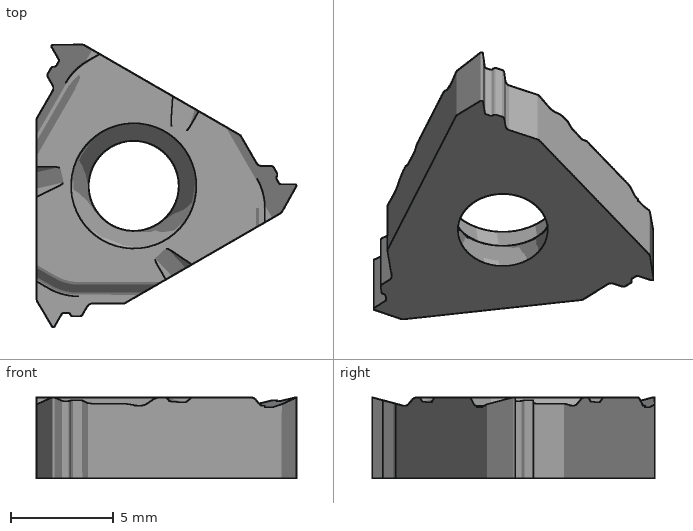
import math

import cadquery as cq

thickness = 3.97
inscribed_radius = 4.7625
corner_count = 3
corner_step = 360 / corner_count
far = 8.0

flank_tan = math.tan(math.radians(60))
side_y = -5.61
apex_x = -3.9386
apex_y = -6.998
apex_radius = 0.08
side_radius = 0.33
groove_y = -6.23
groove_radius = 0.10
crest_y = -6.395
crest_start_x = -3.052
crest_end_x = -2.557
crest_start_radius = 0.15
crest_end_radius = 0.19
shoulder_y = -5.77
shoulder_radius = 0.28
heel_radius = 0.25

rake_angle = 15.0
rake_floor_depth = 0.49
rake_tip_y = apex_y + apex_radius
wall_angle = 50.0
breaker_edge_y = -4.705
breaker_bend_x = -2.71
breaker_bend_radius = 2.2
breaker_bend_angle = 30.0
lip_radius = 0.33
trough_radius = 0.28

notch_turn = 13.0
notch_climb = 10.4
notch_depth = 0.235
notch_floor_width = 0.65
notch_wall_angle = 38.0
notch_fillet_radius = 0.276
notch_y = 0.235
notch_lead = 0.5

bore_radius = 4.4 / 2
head_radius = 6.14 / 2
head_depth = 1.07
seat_radius = 2.96
seat_depth = 1.29
bore_depth = 3.55


def rotate_point(point, degrees):
    """Turn a plan point about the plate centre."""
    angle = math.radians(degrees)
    x = point[0] * math.cos(angle) - point[1] * math.sin(angle)
    y = point[0] * math.sin(angle) + point[1] * math.cos(angle)
    return (x, y)


def corner_points():
    """Sharp vertices of one corner with the radius that rounds each of them."""
    groove_start_x = apex_x + (groove_y - apex_y) / flank_tan
    groove_end_x = crest_start_x - (groove_y - crest_y) / flank_tan
    shoulder_x = crest_end_x + (shoulder_y - crest_y) / flank_tan
    heel_x = 2 * inscribed_radius + flank_tan * shoulder_y
    return [
        ((-inscribed_radius, side_y), side_radius),
        ((apex_x, apex_y), apex_radius),
        ((groove_start_x, groove_y), groove_radius),
        ((groove_end_x, groove_y), groove_radius),
        ((crest_start_x, crest_y), crest_start_radius),
        ((crest_end_x, crest_y), crest_end_radius),
        ((shoulder_x, shoulder_y), shoulder_radius),
        ((heel_x, shoulder_y), heel_radius),
    ]


def rounded_corner(before, vertex, after, radius):
    """Start, middle and end of the arc that rounds a vertex."""
    start_angle = math.atan2(before[1] - vertex[1], before[0] - vertex[0])
    end_angle = math.atan2(after[1] - vertex[1], after[0] - vertex[0])
    half = math.remainder(end_angle - start_angle, 2 * math.pi) / 2
    middle_angle = start_angle + half
    half = abs(half)
    tangent = radius / math.tan(half)
    bulge = radius / math.sin(half) - radius

    def along(angle, distance):
        return (vertex[0] + distance * math.cos(angle), vertex[1] + distance * math.sin(angle))

    return along(start_angle, tangent), along(middle_angle, bulge), along(end_angle, tangent)


def make_plate():
    """Triangular plate with a toothed profile at each corner."""
    outline = []
    for index in range(corner_count):
        for point, radius in corner_points():
            outline.append((rotate_point(point, index * corner_step), radius))
    arcs = []
    for index, (vertex, radius) in enumerate(outline):
        before = outline[index - 1][0]
        after = outline[(index + 1) % len(outline)][0]
        arcs.append(rounded_corner(before, vertex, after, radius))
    sketch = cq.Workplane("XY").moveTo(*arcs[-1][2])
    for start, middle, end in arcs:
        sketch = sketch.lineTo(*start).threePointArc(middle, end)
    return sketch.close().extrude(thickness)


def flare_middle(radius, height, radius_step, rise):
    """Middle of an arc that starts upright at (radius, height) and moves by the given steps."""
    arc_radius = (radius_step**2 + rise**2) / (2 * abs(radius_step))
    half_sweep = math.asin(abs(rise) / arc_radius) / 2
    return (
        radius + math.copysign(arc_radius * (1 - math.cos(half_sweep)), radius_step),
        height + math.copysign(arc_radius * math.sin(half_sweep), rise),
    )


def make_screw_hole():
    """Straight head recess, rounded ledge and a curved seat that runs into the bore."""
    bore_top = thickness - bore_depth
    seat_top = thickness - seat_depth
    head_floor = thickness - head_depth
    seat_middle = flare_middle(bore_radius, bore_top, seat_radius - bore_radius, seat_top - bore_top)
    ledge_middle = flare_middle(head_radius, head_floor, seat_radius - head_radius, seat_top - head_floor)
    return (
        cq.Workplane("XZ")
        .lineTo(bore_radius, 0)
        .lineTo(bore_radius, bore_top)
        .threePointArc(seat_middle, (seat_radius, seat_top))
        .threePointArc(ledge_middle, (head_radius, head_floor))
        .lineTo(head_radius, thickness)
        .lineTo(0, thickness)
        .close()
        .revolve(360, (0, 0, 0), (0, 1, 0))
    )


def breaker_section():
    """Key points of the trough section as (distance outward, depth below the top)."""
    wall = math.radians(wall_angle)
    rake = math.radians(rake_angle)
    lip_end = (lip_radius * math.sin(wall), lip_radius * (1 - math.cos(wall)))
    lip_middle = (lip_radius * math.sin(wall / 2), lip_radius * (1 - math.cos(wall / 2)))
    trough_run = trough_radius * (math.sin(wall) + math.sin(rake))
    trough_drop = trough_radius * (math.cos(rake) - math.cos(wall))
    rake_span = breaker_edge_y - rake_tip_y
    gap = (rake_span - lip_end[0] - trough_run) * math.tan(rake) - lip_end[1] - trough_drop
    wall_run = gap / (math.tan(wall) + math.tan(rake))
    foot = (lip_end[0] + wall_run, lip_end[1] + wall_run * math.tan(wall))
    outer = (foot[0] + trough_run, foot[1] + trough_drop)
    centre = (foot[0] + trough_radius * math.sin(wall), foot[1] - trough_radius * math.cos(wall))
    turn = (wall - rake) / 2
    trough_middle = (
        centre[0] - trough_radius * math.sin(turn),
        centre[1] + trough_radius * math.cos(turn),
    )
    return lip_middle, lip_end, foot, trough_middle, outer


def trough_profile(plane):
    """Closed trough section, drawn with the bend axis as the local vertical axis."""

    def place(point):
        return (breaker_bend_radius + point[0], thickness - point[1])

    lip_middle, lip_end, foot, trough_middle, outer = (place(p) for p in breaker_section())
    return (
        cq.Workplane(plane)
        .moveTo(breaker_bend_radius, thickness)
        .threePointArc(lip_middle, lip_end)
        .lineTo(*foot)
        .threePointArc(trough_middle, outer)
        .lineTo(outer[0], thickness)
        .close()
    )


def bend_plane(degrees):
    """Upright plane through the bend axis, facing outward at the given plan angle."""
    outward = (math.cos(math.radians(degrees)), math.sin(math.radians(degrees)), 0)
    along = (outward[1], -outward[0], 0)
    centre = (breaker_bend_x, breaker_edge_y + breaker_bend_radius, 0)
    return cq.Plane(origin=centre, xDir=outward, normal=along)


def make_trough():
    """Trough along the breaker path: a straight run, a bend and a second straight run."""
    first = trough_profile(bend_plane(-90)).extrude(-far)
    bend = trough_profile(bend_plane(-90)).revolve(breaker_bend_angle, (0, 0, 0), (0, -1, 0))
    second = trough_profile(bend_plane(-90 - breaker_bend_angle)).extrude(far)
    return first, bend, second


def make_rake_cut():
    """Space above the sloping rake face, from the outer rim of the trough to past the tooth."""
    outer_distance = breaker_section()[-1][0]
    rim_radius = breaker_bend_radius + outer_distance
    centre_y = breaker_edge_y + breaker_bend_radius

    def rim_point(degrees, run=0.0):
        angle = math.radians(degrees)
        x = breaker_bend_x + rim_radius * math.cos(angle) + run * math.sin(angle)
        y = centre_y + rim_radius * math.sin(angle) - run * math.cos(angle)
        return (x, y)

    leg_angle = -90 - breaker_bend_angle
    region = (
        cq.Workplane("XY", origin=(0, 0, thickness - rake_floor_depth))
        .moveTo(*rim_point(-90, -far))
        .lineTo(*rim_point(-90))
        .threePointArc(rim_point(-90 - breaker_bend_angle / 2), rim_point(leg_angle))
        .lineTo(*rim_point(leg_angle, far))
        .lineTo(rim_point(leg_angle, far)[0], -far)
        .lineTo(rim_point(-90, -far)[0], -far)
        .close()
        .extrude(rake_floor_depth)
    )
    above_rake = (
        cq.Workplane("YZ")
        .moveTo(rake_tip_y, thickness)
        .lineTo(0, thickness)
        .lineTo(0, thickness + rake_tip_y * math.tan(math.radians(rake_angle)))
        .close()
        .extrude(2 * far, both=True)
    )
    return region.intersect(above_rake)


def make_notch():
    """Tapering notch in the left side whose floor climbs inward to the top face."""
    wall = math.radians(notch_wall_angle)
    half_floor = notch_floor_width / 2
    arc_middle = (
        half_floor + notch_fillet_radius * math.sin(wall / 2),
        notch_fillet_radius * (1 - math.cos(wall / 2)),
    )
    arc_end = (
        half_floor + notch_fillet_radius * math.sin(wall),
        notch_fillet_radius * (1 - math.cos(wall)),
    )
    wall_top = (arc_end[0] + (2 * notch_depth - arc_end[1]) / math.tan(wall), 2 * notch_depth)

    def mirrored(point):
        return (-point[0], point[1])

    climb = math.radians(notch_climb)
    turn = math.radians(notch_turn)
    inward = cq.Vector(
        math.cos(climb) * math.cos(turn),
        math.cos(climb) * math.sin(turn),
        math.sin(climb),
    )
    across = cq.Vector(-math.sin(turn), math.cos(turn), 0)
    mouth = cq.Vector(-inscribed_radius, notch_y, thickness - notch_depth)
    start = mouth - inward * notch_lead
    section = cq.Plane(origin=start, xDir=across, normal=inward)
    return (
        cq.Workplane(section)
        .moveTo(-half_floor, 0)
        .lineTo(half_floor, 0)
        .threePointArc(arc_middle, arc_end)
        .lineTo(*wall_top)
        .lineTo(*mirrored(wall_top))
        .lineTo(*mirrored(arc_end))
        .threePointArc(mirrored(arc_middle), (-half_floor, 0))
        .close()
        .extrude(2 * notch_lead + notch_depth / math.sin(climb))
    )


corner_tools = [*make_trough(), make_rake_cut(), make_notch()]

result = make_plate().cut(make_screw_hole())
for corner in range(corner_count):
    for tool in corner_tools:
        result = result.cut(tool.rotate((0, 0, 0), (0, 0, 1), corner * corner_step))